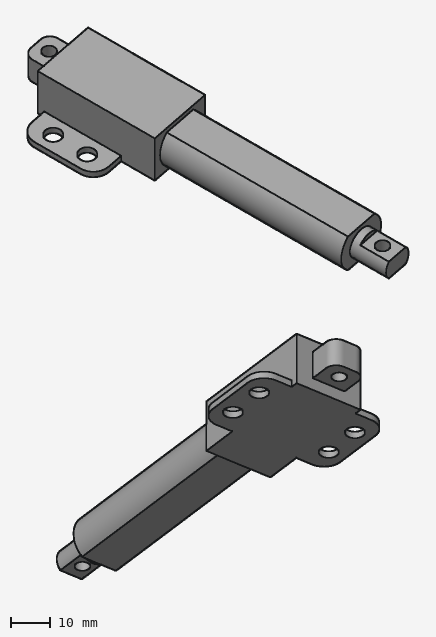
import cadquery as cq

total_length = 117.2

housing_start = 8.8
housing_length = 38.0
housing_width = 20.0
housing_height = 15.0
axis_height = housing_height / 2

tube_end = 105.5
tube_diameter = 16.0
tube_flat_height = 12.0

rod_diameter = 9.0
tip_start = 108.0
tip_flat_height = 6.0

lug_width = 10.0
lug_height = 8.0
lug_corner_radius = 3.0
pin_diameter = 4.0
lug_pin_x = 4.3
tip_pin_x = 112.5

plate_start = 10.9
plate_length = 25.0
plate_width = 40.0
plate_thickness = 2.0
plate_corner_radius = 5.0
mount_hole_diameter = 5.0
mount_hole_pitch_x = 11.0
mount_hole_pitch_y = 30.0


def block(start, length, width, height, bottom):
    """Box centred on Y, growing along +X from start and up from bottom."""
    return cq.Workplane("XY").box(length, width, height, centered=(False, True, False)).translate(
        (start, 0, bottom)
    )


def axial_cylinder(start, end, diameter):
    """Cylinder on the actuator axis between two X positions."""
    plane = cq.Workplane("YZ", origin=(start, 0, axis_height))
    return plane.circle(diameter / 2).extrude(end - start)


def flattened_cylinder(start, end, diameter, flat_height):
    """Axial cylinder with parallel flats cut on its top and bottom."""
    flats = block(start, end - start, diameter, flat_height, axis_height - flat_height / 2)
    return axial_cylinder(start, end, diameter).intersect(flats)


def vertical_pin_hole(x):
    """Cutter for a clevis pin hole through the full height."""
    return cq.Workplane("XY").center(x, 0).circle(pin_diameter / 2).extrude(housing_height)


def mounting_plate():
    """Rounded base plate with two holes in each protruding ear."""
    plate = block(plate_start, plate_length, plate_width, plate_thickness, 0)
    plate = plate.edges("|Z").fillet(plate_corner_radius)
    holes = (
        cq.Workplane("XY")
        .center(hole_center_x, 0)
        .rarray(mount_hole_pitch_x, mount_hole_pitch_y, 2, 2)
        .circle(mount_hole_diameter / 2)
        .extrude(plate_thickness)
    )
    return plate.cut(holes)


def rear_lug():
    """Lug with rounded rear corners and a vertical pin hole."""
    lug = block(0, housing_start, lug_width, lug_height, axis_height - lug_height / 2)
    lug = lug.edges("|Z and <X").fillet(lug_corner_radius)
    return lug.cut(vertical_pin_hole(lug_pin_x))


hole_center_x = plate_start + plate_length / 2
housing_end = housing_start + housing_length

housing = block(housing_start, housing_length, housing_width, housing_height, 0)
tube = flattened_cylinder(housing_end, tube_end, tube_diameter, tube_flat_height)
rod = axial_cylinder(tube_end, tip_start, rod_diameter)
tip = flattened_cylinder(tip_start, total_length, rod_diameter, tip_flat_height)
tip = tip.cut(vertical_pin_hole(tip_pin_x))

result = housing.union(mounting_plate()).union(rear_lug()).union(tube).union(rod).union(tip)